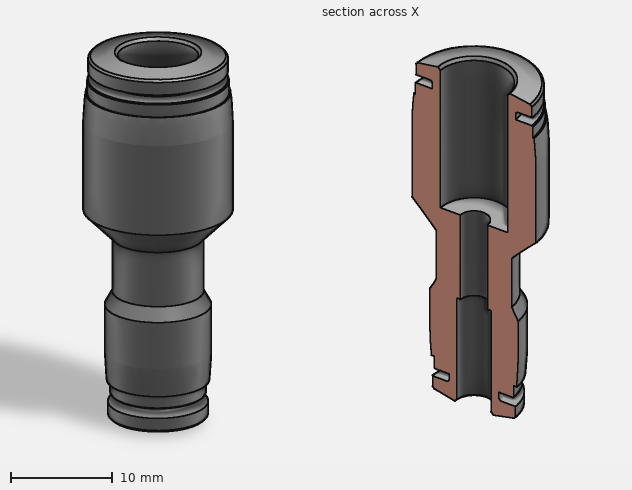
import cadquery as cq
import math

LENGTH = 38.7

LIP_CHAMFER = 0.25
NECK_FILLET = 0.3
COLLAR_CHAMFER = 0.1
BORE_CHAMFER = 0.3

LOWER_BORE_RADIUS = 4.0 / 2
LOWER_LIP_RADIUS = 9.9 / 2
LOWER_NECK_RADIUS = 5.95 / 2
LOWER_COLLAR_RADIUS = 9.5 / 2
LOWER_TAPER_RADIUS = 10.18 / 2
LOWER_BODY_RADIUS = 10.53 / 2
LOWER_CROWN_HEIGHT = 0.55
LOWER_LIP_TOP = 2.05
LOWER_COLLAR_BOTTOM = 2.95
LOWER_COLLAR_TOP = 4.37
LOWER_TAPER_TOP = 7.35
LOWER_BODY_TOP = 12.23

WAIST_RADIUS = 9.0 / 2
WAIST_BOTTOM = 13.62
WAIST_TOP = 19.3
PASSAGE_RADIUS = 3.2 / 2

UPPER_BORE_RADIUS = 7.95 / 2
UPPER_LIP_RADIUS = 13.8 / 2
UPPER_NECK_RADIUS = 9.95 / 2
UPPER_COLLAR_RADIUS = 14.0 / 2
UPPER_TAPER_RADIUS = 14.3 / 2
UPPER_BODY_RADIUS = 14.8 / 2
UPPER_BODY_BOTTOM = 22.2
UPPER_TAPER_BOTTOM = 31.58
UPPER_COLLAR_BOTTOM = 34.5
UPPER_COLLAR_TOP = 35.87
UPPER_LIP_BOTTOM = 36.75
UPPER_CROWN_HEIGHT = 0.4


def neck_fillet(profile, center, start_angle, end_angle):
    """Add a neck fillet about center, ending at end_angle (degrees)."""
    def point(angle):
        turn = math.radians(angle)
        return (center[0] + NECK_FILLET * math.cos(turn), center[1] + NECK_FILLET * math.sin(turn))

    return profile.threePointArc(point((start_angle + end_angle) / 2), point(end_angle))


def outer_profile():
    """Half section of the solid outside, drawn from the bottom end upward."""
    lower_rim = LOWER_LIP_RADIUS - LIP_CHAMFER
    upper_rim = UPPER_LIP_RADIUS - LIP_CHAMFER
    upper_rim_height = LENGTH - UPPER_CROWN_HEIGHT

    profile = (
        cq.Workplane("XZ")
        .moveTo(0, 0)
        .lineTo(LOWER_BORE_RADIUS + BORE_CHAMFER, 0)
        .lineTo(lower_rim, LOWER_CROWN_HEIGHT)
        .lineTo(LOWER_LIP_RADIUS, LOWER_CROWN_HEIGHT + LIP_CHAMFER)
        .lineTo(LOWER_LIP_RADIUS, LOWER_LIP_TOP)
        .lineTo(LOWER_NECK_RADIUS + NECK_FILLET, LOWER_LIP_TOP)
    )
    lower_fillet_center = (LOWER_NECK_RADIUS + NECK_FILLET, LOWER_LIP_TOP + NECK_FILLET)
    profile = neck_fillet(profile, lower_fillet_center, 270, 180)

    profile = (
        profile.lineTo(LOWER_NECK_RADIUS, LOWER_COLLAR_BOTTOM)
        .lineTo(LOWER_COLLAR_RADIUS - COLLAR_CHAMFER, LOWER_COLLAR_BOTTOM)
        .lineTo(LOWER_COLLAR_RADIUS, LOWER_COLLAR_BOTTOM + COLLAR_CHAMFER)
        .lineTo(LOWER_COLLAR_RADIUS, LOWER_COLLAR_TOP)
        .lineTo(LOWER_TAPER_RADIUS, LOWER_COLLAR_TOP)
    )
    taper_height = LOWER_TAPER_TOP - LOWER_COLLAR_TOP
    profile = profile.threePointArc(
        taper_midpoint(LOWER_TAPER_RADIUS, LOWER_BODY_RADIUS, LOWER_TAPER_TOP, -taper_height),
        (LOWER_BODY_RADIUS, LOWER_TAPER_TOP),
    )
    profile = (
        profile.lineTo(LOWER_BODY_RADIUS, LOWER_BODY_TOP)
        .lineTo(WAIST_RADIUS, WAIST_BOTTOM)
        .lineTo(WAIST_RADIUS, WAIST_TOP)
        .lineTo(UPPER_BODY_RADIUS, UPPER_BODY_BOTTOM)
        .lineTo(UPPER_BODY_RADIUS, UPPER_TAPER_BOTTOM)
    )
    taper_height = UPPER_COLLAR_BOTTOM - UPPER_TAPER_BOTTOM
    profile = profile.threePointArc(
        taper_midpoint(UPPER_TAPER_RADIUS, UPPER_BODY_RADIUS, UPPER_TAPER_BOTTOM, taper_height),
        (UPPER_TAPER_RADIUS, UPPER_COLLAR_BOTTOM),
    )

    profile = (
        profile.lineTo(UPPER_COLLAR_RADIUS, UPPER_COLLAR_BOTTOM)
        .lineTo(UPPER_COLLAR_RADIUS, UPPER_COLLAR_TOP - COLLAR_CHAMFER)
        .lineTo(UPPER_COLLAR_RADIUS - COLLAR_CHAMFER, UPPER_COLLAR_TOP)
        .lineTo(UPPER_NECK_RADIUS, UPPER_COLLAR_TOP)
        .lineTo(UPPER_NECK_RADIUS, UPPER_LIP_BOTTOM - NECK_FILLET)
    )
    upper_fillet_center = (UPPER_NECK_RADIUS + NECK_FILLET, UPPER_LIP_BOTTOM - NECK_FILLET)
    profile = neck_fillet(profile, upper_fillet_center, 180, 90)
    profile = (
        profile.lineTo(UPPER_LIP_RADIUS, UPPER_LIP_BOTTOM)
        .lineTo(UPPER_LIP_RADIUS, upper_rim_height - LIP_CHAMFER)
        .lineTo(upper_rim, upper_rim_height)
        .lineTo(UPPER_BORE_RADIUS + BORE_CHAMFER, LENGTH)
        .lineTo(0, LENGTH)
        .close()
    )
    return profile


def taper_midpoint(end_radius, body_radius, body_height, rise):
    """Middle of an arc that leaves the body tangentially and narrows to end_radius."""
    inset = body_radius - end_radius
    arc_radius = (inset**2 + rise**2) / (2 * inset)
    half_angle = math.asin(abs(rise) / arc_radius) / 2
    middle_rise = math.copysign(arc_radius * math.sin(half_angle), rise)
    middle_radius = body_radius - arc_radius * (1 - math.cos(half_angle))
    return (middle_radius, body_height + middle_rise)


def bore_profile():
    """Half section of both tube sockets joined by the narrow passage."""
    return (
        cq.Workplane("XZ")
        .moveTo(0, 0)
        .lineTo(LOWER_BORE_RADIUS + BORE_CHAMFER, 0)
        .lineTo(LOWER_BORE_RADIUS, BORE_CHAMFER)
        .lineTo(LOWER_BORE_RADIUS, LOWER_BODY_TOP)
        .lineTo(PASSAGE_RADIUS, LOWER_BODY_TOP)
        .lineTo(PASSAGE_RADIUS, UPPER_BODY_BOTTOM)
        .lineTo(UPPER_BORE_RADIUS, UPPER_BODY_BOTTOM)
        .lineTo(UPPER_BORE_RADIUS, LENGTH - BORE_CHAMFER)
        .lineTo(UPPER_BORE_RADIUS + BORE_CHAMFER, LENGTH)
        .lineTo(0, LENGTH)
        .close()
    )


def revolve_about_z(profile):
    return profile.revolve(360, (0, 0, 0), (0, 1, 0))


result = revolve_about_z(outer_profile()).cut(revolve_about_z(bore_profile()))